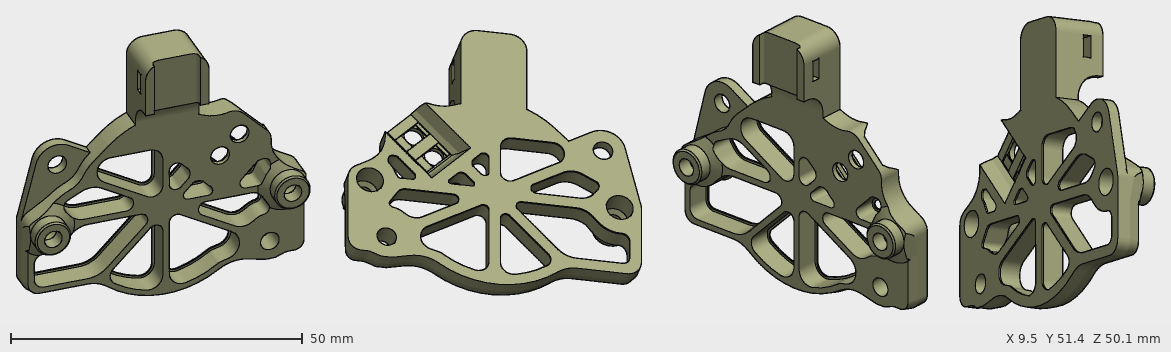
import math

import cadquery as cq


plate_thickness = 4.5
ear_thickness = 2.0
half_width = 25.72
ring_radius = 18.0
window_ring_radius = 16.0
spoke_half_width = 1.0
mount_radius = 21.9
mount_tilt = 30.0
ring_arc_right = 37.3
ring_arc_left = 33.0
window_arc_start = 13.0
window_arc_end = 34.3
window_hub_radius = 0.95
window_lip_thickness = 0.3
window_undercut = 0.4
mount_hole_diameter = 3.4
ear_radius = 4.0

boss_diameter = 6.5
boss_end_x = 8.0
boss_chamfer = 0.3
boss_cone_end_x = 5.5
boss_cone_base_diameter = 10.3
screw_hole_diameter = 3.2
insert_hole_diameter = 4.7
insert_depth = 4.5

bevel_width = 0.5
bevel_depth = 2.0
bevel_start_x = plate_thickness - bevel_depth
bevel_top_z = -3.5
boss_bevel_top_z = 1.7
boss_bevel_rise = 1.1

tab_center_y = 0.19
tab_width = 11.6
tab_top_z = 32.09
tab_bottom_z = 14.0
tab_depth = 9.5
tab_corner_radius = 3.0
tab_block_bottom_z = 22.15
tab_under_radius = 4.1
channel_width = 8.4
channel_depth = 1.1
channel_corner_radius = 0.4
tie_slot_x = (5.5, 7.1)
tie_slot_z = (25.15, 29.0)

socket_across = -1.77
socket_outer_along = 24.0
socket_steps = (
    (0.0, 4.81, 9.05),
    (2.2, 3.69, 10.17),
    (3.0, 2.90, 10.87),
)
socket_hole_along = (12.7, 17.75)
socket_hole_across = -1.27
socket_hole_diameter = 3.4
bridge_width = 2.87
bridge_pad_length = 3.55
bridge_step = 0.25

clearance = 1.0


def polar(radius, degrees):
    angle = math.radians(degrees)
    return (radius * math.cos(angle), radius * math.sin(angle))


def hub_corner(first_spoke, second_spoke):
    """Point near the hub where the facing edges of two neighbouring spokes meet."""
    half_gap = (second_spoke - first_spoke) / 2
    distance = spoke_half_width / math.sin(math.radians(half_gap))
    return polar(distance, first_spoke + half_gap)


def arc_corner(radius, start, end):
    """Point where the tangents at both ends of an arc around the hub meet."""
    half_sweep = (end - start) / 2
    return polar(radius / math.cos(math.radians(half_sweep)), start + half_sweep)


def rounded_outline(corners, x=0.0):
    """Closed outline at height x through (y, z, radius) corners, each rounded by its radius."""
    path = None
    for index, (y, z, radius) in enumerate(corners):
        corner = cq.Vector(y, z)
        before = cq.Vector(*corners[index - 1][:2])
        after = cq.Vector(*corners[(index + 1) % len(corners)][:2])
        toward_before = (before - corner).normalized()
        toward_after = (after - corner).normalized()
        half_angle = toward_before.getAngle(toward_after) / 2
        tangent_length = radius / math.tan(half_angle)
        start = corner + toward_before * tangent_length
        end = corner + toward_after * tangent_length
        bisector = (toward_before + toward_after).normalized()
        middle = corner + bisector * (radius / math.sin(half_angle) - radius)
        if path is None:
            path = cq.Workplane("YZ", origin=(x, 0, 0)).moveTo(start.x, start.y)
        else:
            path = path.lineTo(start.x, start.y)
        if radius > 0:
            path = path.threePointArc((middle.x, middle.y), (end.x, end.y))
    return path.close()


def widened(corners, distance):
    """The (y, z, radius) corners of the same outline with every side moved outward by the distance."""
    points = [cq.Vector(y, z) for y, z, _ in corners]
    following = points[1:] + points[:1]
    winding = math.copysign(1, sum(p.cross(q).z for p, q in zip(points, following)))
    moved = []
    for index, (corner, after) in enumerate(zip(points, following)):
        toward_before = (points[index - 1] - corner).normalized()
        toward_after = (after - corner).normalized()
        turn = math.copysign(winding, winding * toward_after.cross(toward_before).z)
        half_angle = toward_before.getAngle(toward_after) / 2
        bisector = (toward_before + toward_after).normalized()
        place = corner - bisector * (turn * distance / math.sin(half_angle))
        moved.append((place.x, place.y, corners[index][2] + turn * distance))
    return moved


def box_between(x_range, y_range, z_range):
    (x0, x1), (y0, y1), (z0, z1) = x_range, y_range, z_range
    return cq.Workplane("XY").box(x1 - x0, y1 - y0, z1 - z0, centered=False).translate((x0, y0, z0))


ear_hole = polar(mount_radius, 180 - mount_tilt)
corner_hole = polar(mount_radius, -mount_tilt)
boss_centers = ((-mount_radius, 0.0), (mount_radius, 0.0))

lower_outline = [
    (-half_width, -13.03, 2.6),
    (-12.57, -13.03, 5.5),
    (*arc_corner(ring_radius, 270 - ring_arc_right, 270 + ring_arc_left), ring_radius),
    (12.2, -13.54, 6.3),
    (18.0, -14.95, 1.0),
    (20.0, -14.95, 1.5),
    (22.0, -14.2, 1.5),
    (half_width, -14.2, 2.3),
]
left_outline = [
    (half_width, 1.75, 2.7),
    (19.22, 5.52, 6.0),
    (19.22, 10.58, 2.5),
    (13.0, 16.8, 3.0),
    (9.1, 15.95, 7.3),
    (5.9, 17.2, 0.0),
]
right_outline = [
    (-5.6, 17.5, 0.0),
    (-8.35, 16.36, 16.5),
    (-14.41, 10.75, 8.0),
    (-15.94, 7.74, 5.1),
    (-18.9, 6.4, 10.0),
    (-21.0, 4.7, 20.0),
    (-half_width, 1.75, 2.7),
]
plate_outline = lower_outline + left_outline + right_outline

windows = [
    [
        (*hub_corner(90, 150), 1.5),
        (-spoke_half_width, 11.47, 2.0),
        (-12.2, 11.47, 2.05),
        (-12.2, 8.2, 2.05),
    ],
    [
        (*hub_corner(150, 180), window_hub_radius),
        (-13.64, 6.71, 3.6),
        (-18.86, 4.1, 1.0),
        (-16.35, spoke_half_width, 3.0),
    ],
    [
        (*hub_corner(180, 225), window_hub_radius),
        (-15.93, -spoke_half_width, 4.0),
        (-19.77, -5.08, 5.1),
        (-23.7, -5.08, 1.5),
        (-23.7, -11.03, 1.4),
        (-12.44, -11.03, 4.6),
    ],
    [
        (*hub_corner(225, 270), window_hub_radius),
        (-10.67, -12.09, 1.5),
        (*arc_corner(window_ring_radius, 270 - window_arc_end, 270 - window_arc_start), window_ring_radius),
        (-spoke_half_width, -16.2, 2.1),
    ],
    [
        (*hub_corner(270, 330), window_hub_radius),
        (spoke_half_width, -16.2, 2.1),
        (*arc_corner(window_ring_radius, 270 + window_arc_start, 270 + window_arc_end), window_ring_radius),
        (9.5, -12.89, 2.0),
        (13.0, -11.97, 2.4),
        (13.0, -8.66, 2.4),
    ],
    [
        (*hub_corner(330, 360), window_hub_radius),
        (14.13, -7.0, 2.5),
        (17.0, -5.08, 4.0),
        (19.0, -4.75, 0.75),
        (16.55, -spoke_half_width, 1.8),
    ],
    [
        (12.85, spoke_half_width, 0.75),
        (16.9, spoke_half_width, 0.5),
        (17.85, 2.9, 2.0),
        (18.68, 4.0, 0.5),
        (18.68, 5.39, 0.8),
        (17.2, 5.39, 0.9),
    ],
    [
        (8.78, spoke_half_width, 0.46),
        (5.81, 3.96, 1.06),
        (2.85, spoke_half_width, 0.5),
    ],
    [
        (spoke_half_width, 2.2, 0.85),
        (4.46, 5.67, 1.1),
        (spoke_half_width, 9.13, 0.9),
    ],
]


def make_plate():
    plate = rounded_outline(plate_outline).extrude(plate_thickness)
    ear_outline = [
        (-8.0, 9.24, 0.0),
        (-13.04, 12.15, 0.0),
        (-21.56, 17.06, ear_radius),
        (-25.62, 0.95, 0.0),
        (-22.0, 0.0, 0.0),
    ]
    return plate.union(rounded_outline(ear_outline).extrude(ear_thickness))


def make_edge_bevel():
    """Cutter that slopes the lower back edge of the plate inward."""
    skirt_outline = lower_outline + [(half_width, 0.0, 0.0), (-half_width, 0.0, 0.0)]
    taper = math.degrees(math.atan(bevel_width / bevel_depth))
    kept = rounded_outline(skirt_outline, bevel_start_x).extrude(bevel_depth, taper=taper)
    reach = half_width + clearance
    return box_between((bevel_start_x, plate_thickness), (-reach, reach), (-reach, bevel_top_z)).cut(kept)


def make_boss_bevel(side):
    """Cutter for the stretch of bevel that climbs toward the boss on the given side."""
    slope = bevel_depth / bevel_width

    def section(x, z):
        return (
            cq.Workplane("XY", origin=(0, 0, z))
            .moveTo(x - slope * clearance, side * (half_width + clearance))
            .lineTo(x + slope * clearance, side * (half_width - clearance))
            .lineTo(x + slope * clearance, side * (half_width + clearance))
            .close()
            .wire()
            .val()
        )

    start = section(bevel_start_x, bevel_top_z)
    end = section(bevel_start_x + boss_bevel_rise, boss_bevel_top_z)
    return cq.Workplane(cq.Solid.makeLoft([start, end], True))


def make_window(corners):
    """Cutter for a window that widens behind a thin lip at the front face."""
    opening = rounded_outline(corners, -clearance).extrude(boss_cone_end_x)
    wide = rounded_outline(widened(corners, window_undercut), window_lip_thickness)
    return opening.union(wide.extrude(boss_cone_end_x))


def make_boss_cones():
    cone_height = boss_cone_end_x - plate_thickness
    cone = cq.Solid.makeCone(
        boss_cone_base_diameter / 2,
        boss_diameter / 2,
        cone_height,
        cq.Vector(plate_thickness, 0, 0),
        cq.Vector(1, 0, 0),
    )
    outline = rounded_outline(plate_outline).extrude(boss_cone_end_x)
    cones = [cq.Workplane(cone.translate(cq.Vector(0, y, z))) for y, z in boss_centers]
    return outline.intersect(cones[0].union(cones[1]))


def make_bosses():
    return (
        cq.Workplane("YZ", origin=(plate_thickness, 0, 0))
        .pushPoints(boss_centers)
        .circle(boss_diameter / 2)
        .extrude(boss_end_x - plate_thickness)
        .faces(">X")
        .chamfer(boss_chamfer)
    )


def make_insert_hole(y, z):
    """Insert bore from the front, narrowing by a 45 degree cone to the screw hole."""
    bore = insert_hole_diameter / 2
    screw = screw_hole_diameter / 2
    return (
        cq.Workplane("XY")
        .polyline(
            [
                (-clearance, 0),
                (-clearance, bore),
                (insert_depth, bore),
                (insert_depth + bore - screw, screw),
                (boss_end_x + clearance, screw),
                (boss_end_x + clearance, 0),
            ]
        )
        .close()
        .revolve(360, (0, 0, 0), (1, 0, 0))
        .translate((0, y, z))
    )


def make_tab():
    tab_half = tab_width / 2
    under_x = plate_thickness + tab_under_radius
    arc_mid = tab_under_radius * math.sqrt(0.5)
    profile = (
        cq.Workplane("XZ", origin=(0, tab_center_y + tab_half, 0))
        .moveTo(0, tab_bottom_z)
        .lineTo(plate_thickness, tab_bottom_z)
        .lineTo(plate_thickness, tab_block_bottom_z - tab_under_radius)
        .threePointArc(
            (under_x - arc_mid, tab_block_bottom_z - tab_under_radius + arc_mid),
            (under_x, tab_block_bottom_z),
        )
        .lineTo(tab_depth, tab_block_bottom_z)
        .lineTo(tab_depth, tab_top_z)
        .lineTo(0, tab_top_z)
        .close()
        .extrude(tab_width)
    )
    tab = profile.edges("|X and >Z").fillet(tab_corner_radius)
    tab_span = (tab_center_y - tab_half - clearance, tab_center_y + tab_half + clearance)
    channel_span = (tab_center_y - channel_width / 2, tab_center_y + channel_width / 2)
    channel_x = (tab_depth - channel_depth, tab_depth + clearance)
    channel_z = (tab_block_bottom_z - clearance, tab_top_z + clearance)
    channel = box_between(channel_x, channel_span, channel_z).edges("|Z and <X").fillet(channel_corner_radius)
    return tab.cut(channel).cut(box_between(tie_slot_x, tab_span, tie_slot_z))


def make_socket():
    """Funnel open at its outer end, with two screw holes stepped for bridging."""

    def socket_plane(x):
        return cq.Workplane(cq.Plane(origin=(x, 0, 0), xDir=(0, 1, 1), normal=(1, 0, 0)))

    def section(x, half, inner_end):
        length = socket_outer_along - inner_end
        middle = inner_end + length / 2
        return socket_plane(x).center(middle, socket_across).rect(length, 2 * half).wires().val()

    sections = [section(*step) for step in socket_steps]
    socket = cq.Workplane(cq.Solid.makeLoft(sections[:2], True))
    socket = socket.union(cq.Workplane(cq.Solid.makeLoft(sections[1:], True)))

    floor_x, floor_half, _ = socket_steps[-1]
    for along in socket_hole_along:
        groove = socket_plane(floor_x).center(along, socket_across).rect(bridge_width, 2 * floor_half)
        hole_plane = socket_plane(floor_x).center(along, socket_hole_across)
        pad = hole_plane.rect(bridge_width, bridge_pad_length).extrude(2 * bridge_step)
        hole = (
            socket_plane(floor_x + 2 * bridge_step)
            .center(along, socket_hole_across)
            .circle(socket_hole_diameter / 2)
            .extrude(plate_thickness)
        )
        socket = socket.union(groove.extrude(bridge_step)).union(pad).union(hole)
    return socket


body = make_plate().cut(make_edge_bevel()).union(make_boss_cones())
for boss_side in (-1, 1):
    body = body.cut(make_boss_bevel(boss_side))
body = body.union(make_bosses()).union(make_tab())

for window in windows:
    body = body.cut(make_window(window))
for boss_center in boss_centers:
    body = body.cut(make_insert_hole(*boss_center))
mount_holes = cq.Workplane("YZ").pushPoints([ear_hole, corner_hole]).circle(mount_hole_diameter / 2)
body = body.cut(mount_holes.extrude(plate_thickness))

result = body.cut(make_socket())